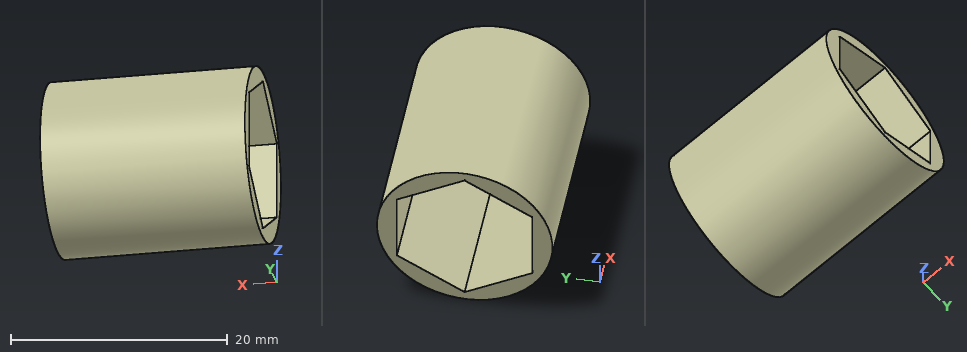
import cadquery as cq
import math

length = 19.32
outer_diameter = 16.5
hex_across_flats = 12.71

hex_across_corners = hex_across_flats / math.cos(math.radians(30))


def make_sleeve():
    """Round sleeve along +X, starting at the YZ plane."""
    return cq.Workplane("YZ").circle(outer_diameter / 2).extrude(length)


def make_hex_bore():
    """Hexagonal bore running the full length of the sleeve."""
    return (
        cq.Workplane("YZ")
        .transformed(rotate=(0, 0, 90))
        .polygon(6, hex_across_corners)
        .extrude(length)
    )


result = make_sleeve().cut(make_hex_bore())